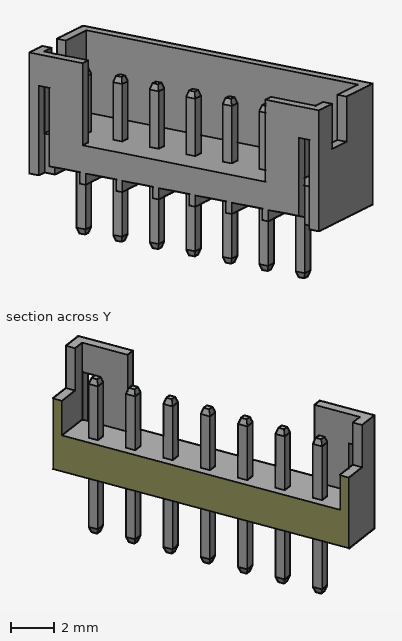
import cadquery as cq

HOUSING_LENGTH = 15.86
HOUSING_DEPTH = 4.67
HOUSING_HEIGHT = 5.9
WALL = 0.5
CAVITY_DEPTH = 4.0
FLOOR_HEIGHT = HOUSING_HEIGHT - CAVITY_DEPTH

PIN_COUNT = 7
PITCH = 2.0
PIN_WIDTH = 0.5
PIN_TOP = 5.0
PIN_BOTTOM = -3.04
TIP_WIDTH = 0.3
TIP_HEIGHT = 0.3
FRONT_TO_PINS = 1.69

FRONT_Y = -FRONT_TO_PINS
BACK_Y = FRONT_Y + HOUSING_DEPTH

WINDOW_WIDTH = 10.0

NOTCH_WIDTH = 1.24
NOTCH_DEPTH = 2.2
FRONT_TO_NOTCH = 1.15

SLOT_WIDTH = 0.57
SLOT_HEIGHT = 4.37
END_TO_SLOT = 0.53

RELIEF_HEIGHT = 0.55
RELIEF_DEPTH = FRONT_TO_PINS - PIN_WIDTH / 2
RIB_WIDTH = 0.33
RELIEF_HALF_LENGTH = HOUSING_LENGTH / 2 - END_TO_SLOT - SLOT_WIDTH

PIN_POSITIONS = [(i - (PIN_COUNT - 1) / 2) * PITCH for i in range(PIN_COUNT)]


def block(x_min, x_max, y_min, y_max, z_min, z_max):
    """Axis-aligned box given by its limits."""
    size = (x_max - x_min, y_max - y_min, z_max - z_min)
    return cq.Workplane("XY").box(*size, centered=False).translate((x_min, y_min, z_min))


def open_box():
    """Outer block with the mating cavity removed."""
    half = HOUSING_LENGTH / 2
    outer = block(-half, half, FRONT_Y, BACK_Y, 0, HOUSING_HEIGHT)
    cavity = block(
        -half + WALL, half - WALL,
        FRONT_Y + WALL, BACK_Y - WALL,
        FLOOR_HEIGHT, HOUSING_HEIGHT,
    )
    return outer.cut(cavity)


def front_window():
    """Opening in the front wall, from the cavity floor to the rim."""
    half = WINDOW_WIDTH / 2
    return block(-half, half, FRONT_Y, FRONT_Y + WALL, FLOOR_HEIGHT, HOUSING_HEIGHT)


def end_notches():
    """One cutter that notches both end walls along X."""
    half = HOUSING_LENGTH / 2
    y_min = FRONT_Y + FRONT_TO_NOTCH
    return block(-half, half, y_min, y_min + NOTCH_WIDTH, HOUSING_HEIGHT - NOTCH_DEPTH, HOUSING_HEIGHT)


def front_slots():
    """Pair of mirrored slots through the front wall."""
    x_min = -HOUSING_LENGTH / 2 + END_TO_SLOT
    left = block(x_min, x_min + SLOT_WIDTH, FRONT_Y, FRONT_Y + WALL, 0, SLOT_HEIGHT)
    return left.union(left.mirror("YZ"))


def sloped_relief(x_min, x_max):
    """Triangular prism rising from the seating face to the front face."""
    profile = [
        (FRONT_Y, 0),
        (FRONT_Y + RELIEF_DEPTH, 0),
        (FRONT_Y, RELIEF_HEIGHT),
    ]
    prism = cq.Workplane("YZ").polyline(profile).close().extrude(x_max - x_min)
    return prism.translate((x_min, 0, 0))


def pin_tip(x, z_base, z_direction):
    """Tapered square tip growing from z_base, up (+1) or down (-1)."""
    return (
        cq.Workplane("XY", origin=(x, 0, z_base))
        .rect(PIN_WIDTH, PIN_WIDTH)
        .workplane(offset=z_direction * TIP_HEIGHT)
        .rect(TIP_WIDTH, TIP_WIDTH)
        .loft(ruled=True)
    )


def pin(x):
    """Square contact, tapered at both ends."""
    half = PIN_WIDTH / 2
    shaft_bottom = PIN_BOTTOM + TIP_HEIGHT
    shaft_top = PIN_TOP - TIP_HEIGHT
    shaft = block(x - half, x + half, -half, half, shaft_bottom, shaft_top)
    return shaft.union(pin_tip(x, shaft_top, 1)).union(pin_tip(x, shaft_bottom, -1))


result = open_box().cut(front_window()).cut(end_notches()).cut(front_slots())

relief_reach = (PITCH - RIB_WIDTH) / 2
for pin_x in PIN_POSITIONS:
    relief_start = max(pin_x - relief_reach, -RELIEF_HALF_LENGTH)
    relief_end = min(pin_x + relief_reach, RELIEF_HALF_LENGTH)
    result = result.cut(sloped_relief(relief_start, relief_end))

for pin_x in PIN_POSITIONS:
    result = result.union(pin(pin_x))